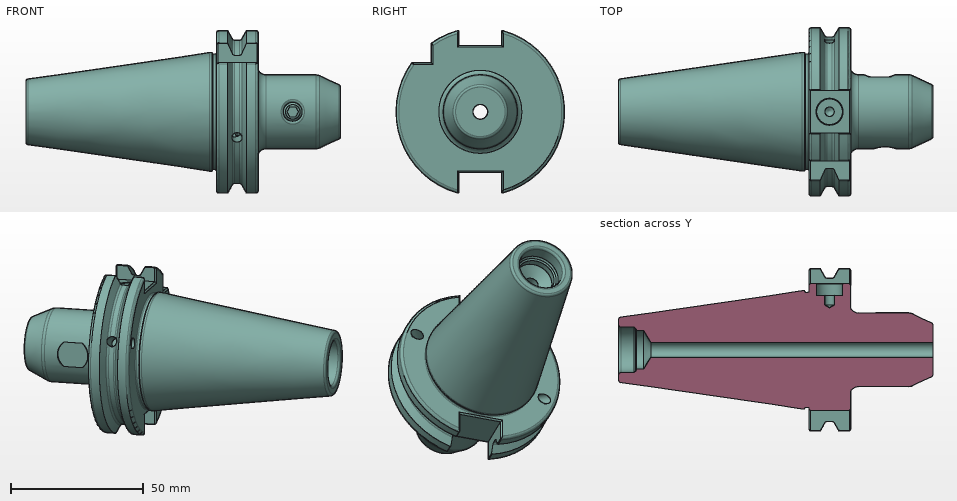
import cadquery as cq
import math

total_length = 118.4
gauge_x = 69.1
gauge_radius = 22.4
taper_ratio = 7 / 24
shank_edge_radius = 1.0
land_end_x = 70.0
relief_radius = 21.8
relief_fillet = 0.4

flange_x = 71.6
flange_width = 15.9
flange_radius = 31.7
flange_edge_radius = 1.1
vee_x = 79.5
vee_root_radius = 28.2
vee_mouth_half = 3.5
vee_wall_angle = 30.0
vee_fillet = 1.0

key_width = 16.1
top_key_floor = 25.0
bottom_key_floor = 22.9
notch_offset = 18.5
face_chamfer = 0.6
rim_chamfer = 0.4
notch_rim_chamfer = 0.1

nose_radius = 14.0
neck_radius = 15.6
neck_end_x = 90.3
nose_cone_x = 109.9
nose_cone_angle = 25.0
nose_blend_radius = 3.0
nose_tip_radius = 1.1

pilot_radius = 8.5
mouth_edge_radius = 1.0
pilot_end_x = 5.8
step_radius = 7.9
core_radius = 7.2
step_chamfer_length = 0.7
core_start_x = 6.9
core_end_x = 9.5
coolant_radius = 2.7
drill_half_angle = 59.0

pocket_radius = 4.9
pocket_chamfer = 0.2
pocket_depth = 4.5
pocket_hole_radius = 1.8
pocket_hole_depth = 3.5

drilling_angle = 20.0
cross_hole_radius = 1.9
inclined_hole_radius = 2.0
inclined_hole_start = 26.9
inclined_hole_angle = 37.0

screw_x = 100.4
screw_radius = 3.5
screw_hole_fillet = 0.8
screw_top = 12.1
screw_bottom = 4.7
screw_chamfer = 0.8
socket_flats = 3.8
socket_depth = 2.4

spot_x = 98.3
spot_radius = 5.9
spot_floor = 13.1

cutter_overrun = 2.4
select_margin = 0.1

flange_end_x = flange_x + flange_width
flange_mid_x = flange_x + flange_width / 2


def tan_deg(angle):
    return math.tan(math.radians(angle))


def revolve_about_x(profile):
    return profile.close().revolve(360, (0, 0, 0), (1, 0, 0))


def make_shank():
    small_radius = gauge_radius - gauge_x * taper_ratio / 2
    shank = revolve_about_x(
        cq.Workplane("XY")
        .lineTo(0, small_radius)
        .lineTo(gauge_x, gauge_radius)
        .lineTo(land_end_x, gauge_radius)
        .lineTo(land_end_x + relief_fillet, relief_radius)
        .lineTo(flange_x - relief_fillet, relief_radius)
        .radiusArc((flange_x, relief_radius + relief_fillet), -relief_fillet)
        .lineTo(flange_x, 0)
    )
    return shank.faces("<X").edges().fillet(shank_edge_radius)


def make_vee_groove():
    depth = flange_radius - vee_root_radius
    root_half = vee_mouth_half - depth * tan_deg(vee_wall_angle)
    over_half = vee_mouth_half + cutter_overrun * tan_deg(vee_wall_angle)
    groove = revolve_about_x(
        cq.Workplane("XY")
        .moveTo(vee_x - over_half, flange_radius + cutter_overrun)
        .lineTo(vee_x - root_half, vee_root_radius)
        .lineTo(vee_x + root_half, vee_root_radius)
        .lineTo(vee_x + over_half, flange_radius + cutter_overrun)
    )
    reach = vee_root_radius + select_margin
    half_width = root_half + select_margin
    root = cq.selectors.BoxSelector(
        (vee_x - half_width, -reach, -reach),
        (vee_x + half_width, reach, reach),
        boundingbox=True,
    )
    return groove.edges(root).fillet(vee_fillet)


def make_key_slot(floor, side):
    """Slot across the flange at +Z (side = 1) or -Z (side = -1)."""
    half = key_width / 2
    rim = math.sqrt(flange_radius**2 - half**2)
    flare = flange_radius - rim + rim_chamfer
    points = [
        (half, floor),
        (half, rim - rim_chamfer),
        (half + flare, rim - rim_chamfer + flare),
    ]
    outline = points + [(-y, z) for y, z in reversed(points)]
    slot = (
        cq.Workplane("YZ", origin=(flange_x, 0, 0))
        .polyline([(y, side * z) for y, z in outline])
        .close()
        .extrude(flange_width)
    )
    return slot.union(make_face_bevels(-half, half, side * floor, side * flange_radius * 2))


def make_notch():
    """Square notch in the -Y, +Z quarter of the rim."""
    rim = math.sqrt(flange_radius**2 - notch_offset**2)
    flare = flange_radius - rim
    inner = rim - notch_rim_chamfer
    notch = (
        cq.Workplane("YZ", origin=(flange_x, 0, 0))
        .polyline([
            (-notch_offset, notch_offset),
            (-notch_offset, inner),
            (-notch_offset + flare, inner + flare),
            (-inner - flare, inner + flare),
            (-inner - flare, notch_offset - flare),
            (-inner, notch_offset),
        ])
        .close()
        .extrude(flange_width)
    )
    far = flange_radius * 2
    return notch.union(make_face_bevels(-far, -notch_offset, notch_offset, far))


def make_face_bevels(y_start, y_end, z_start, z_end):
    """Tapered cutters that chamfer a rectangular opening on both flange faces."""
    width = abs(y_end - y_start) + 2 * face_chamfer
    height = abs(z_end - z_start) + 2 * face_chamfer
    y_mid = (y_start + y_end) / 2
    z_mid = (z_start + z_end) / 2
    bevel = (
        cq.Workplane("YZ", origin=(flange_x, y_mid, z_mid))
        .rect(width, height)
        .extrude(face_chamfer, taper=45)
    )
    return bevel.union(bevel.mirror("YZ", (flange_mid_x, 0, 0)))


def make_flange():
    flange = cq.Workplane("YZ", origin=(flange_x, 0, 0)).circle(flange_radius).extrude(flange_width)
    flange = flange.edges().fillet(flange_edge_radius)
    flange = flange.cut(make_vee_groove())
    flange = flange.cut(make_key_slot(top_key_floor, 1))
    flange = flange.cut(make_key_slot(bottom_key_floor, -1))
    return flange.cut(make_notch())


def make_nose():
    neck_length = neck_end_x - flange_end_x
    neck_rise = neck_radius - nose_radius
    neck_arc = (neck_length**2 + neck_rise**2) / (2 * neck_rise)
    tip_radius = nose_radius - (total_length - nose_cone_x) * tan_deg(nose_cone_angle)
    nose = revolve_about_x(
        cq.Workplane("XY")
        .moveTo(flange_end_x, 0)
        .lineTo(flange_end_x, neck_radius)
        .radiusArc((neck_end_x, nose_radius), -neck_arc)
        .lineTo(nose_cone_x, nose_radius)
        .lineTo(total_length, tip_radius)
        .lineTo(total_length, 0)
    )
    cone_start = cq.selectors.BoxSelector(
        (nose_cone_x - select_margin, -nose_radius * 2, -nose_radius * 2),
        (nose_cone_x + select_margin, nose_radius * 2, nose_radius * 2),
        boundingbox=True,
    )
    nose = nose.edges(cone_start).fillet(nose_blend_radius)
    return nose.faces(">X").edges().fillet(nose_tip_radius)


def make_axial_bore():
    cone_length = (core_radius - coolant_radius) / tan_deg(drill_half_angle)
    return revolve_about_x(
        cq.Workplane("XY")
        .lineTo(0, pilot_radius + mouth_edge_radius)
        .radiusArc((mouth_edge_radius, pilot_radius), -mouth_edge_radius)
        .lineTo(pilot_end_x, pilot_radius)
        .lineTo(pilot_end_x + step_chamfer_length, step_radius)
        .lineTo(core_start_x, core_radius)
        .lineTo(core_end_x, core_radius)
        .lineTo(core_end_x + cone_length, coolant_radius)
        .lineTo(total_length, coolant_radius)
        .lineTo(total_length, 0)
    )


def make_chip_pocket():
    hole_floor = pocket_depth + pocket_hole_depth
    point = hole_floor + pocket_hole_radius / tan_deg(drill_half_angle)
    return (
        cq.Workplane("XZ", origin=(vee_x, 0, top_key_floor))
        .lineTo(pocket_radius + pocket_chamfer, 0)
        .lineTo(pocket_radius, -pocket_chamfer)
        .lineTo(pocket_radius, -pocket_depth)
        .lineTo(pocket_hole_radius, -pocket_depth)
        .lineTo(pocket_hole_radius, -hole_floor)
        .lineTo(0, -point)
        .close()
        .revolve(360, (0, 0, 0), (0, 1, 0))
    )


def make_coolant_drillings(side):
    """Hole from the groove root meeting an inclined hole from the rear flange face."""
    angle = math.radians(drilling_angle)
    outward = cq.Vector(0, side * math.cos(angle), side * math.sin(angle))
    slope = math.radians(inclined_hole_angle)
    inward = cq.Vector(math.cos(slope), 0, 0) - outward * math.sin(slope)
    run = (vee_x - flange_x) / math.cos(slope)
    entry = cq.Vector(flange_x, 0, 0) + outward * inclined_hole_start
    meeting = entry + inward * run
    start = entry - inward * cutter_overrun
    inclined = cq.Solid.makeCylinder(inclined_hole_radius, run + cutter_overrun, start, inward)
    cross_length = flange_radius - inclined_hole_start + run * math.sin(slope)
    cross = cq.Solid.makeCylinder(cross_hole_radius, cross_length, meeting, outward)
    return cq.Workplane(inclined).union(cq.Workplane(cross))


def make_screw_hole():
    return (
        cq.Workplane("XZ", origin=(screw_x, -screw_bottom, 0))
        .circle(screw_radius)
        .extrude(nose_radius)
    )


def make_spot_face():
    return cq.Workplane("XZ", origin=(spot_x, spot_floor, 0)).circle(spot_radius).extrude(-nose_radius)


def make_housing():
    nose = make_nose().cut(make_screw_hole())
    reach = screw_radius + select_margin
    mouth = cq.selectors.BoxSelector(
        (screw_x - reach, -nose_radius - select_margin, -reach),
        (screw_x + reach, -screw_top - select_margin, reach),
        boundingbox=True,
    )
    nose = nose.edges(mouth).fillet(screw_hole_fillet)
    nose = nose.cut(make_spot_face())
    housing = make_shank().union(make_flange()).union(nose)
    housing = housing.cut(make_axial_bore())
    housing = housing.cut(make_chip_pocket())
    for side in (-1, 1):
        housing = housing.cut(make_coolant_drillings(side))
    return housing


def make_clamping_screw():
    socket_corners = socket_flats / math.cos(math.radians(30))
    screw = (
        cq.Workplane("XZ", origin=(screw_x, -screw_bottom, 0))
        .circle(screw_radius)
        .extrude(screw_top - screw_bottom)
        .faces("<Y").edges().chamfer(screw_chamfer)
    )
    socket = (
        cq.Workplane("XZ", origin=(screw_x, -screw_top + socket_depth, 0))
        .polygon(6, socket_corners)
        .extrude(socket_depth)
    )
    return screw.cut(socket)


housing = make_housing()
clamping_screw = make_clamping_screw()

result = cq.Compound.makeCompound([housing.val(), clamping_screw.val()])